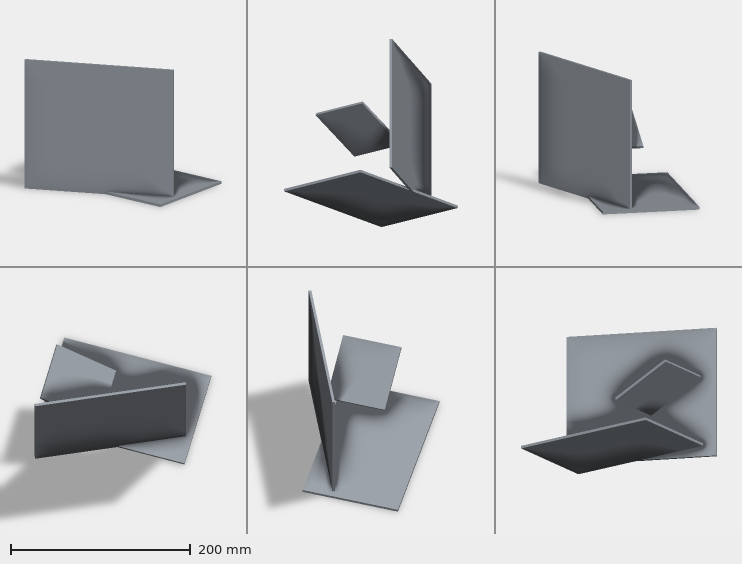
import cadquery as cq
import math

plate_thickness = 3.0

base_width = 170.0
base_depth = 110.0

upright_length = 170.0
upright_height = 150.0
upright_angle = 24.6
front_overhang = 38.51

tilted_length = 75.0
tilted_width = 67.25
tilted_angle = 25.0
tilted_center_x = -47.5
tilted_center_z = 66.5

turn = math.radians(upright_angle)
upright_half_span_y = (upright_length * math.sin(turn) + plate_thickness * math.cos(turn)) / 2
upright_center_y = upright_half_span_y - front_overhang


def make_upright():
    """Standing plate that crosses the base's front edge at an angle."""
    return (
        cq.Workplane("XY")
        .box(upright_length, plate_thickness, upright_height, centered=(True, True, False))
        .rotate((0, 0, 0), (0, 0, 1), upright_angle)
        .translate((0, upright_center_y, 0))
    )


def make_base(upright):
    """Flat plate with a through slot, open at the front, that receives the upright."""
    blank = cq.Workplane("XY").box(base_width, base_depth, plate_thickness, centered=(True, False, False))
    return blank.cut(upright).solids()


def make_tilted_plate():
    """Plate tilted about Y and held above the base, behind the upright."""
    return (
        cq.Workplane("XY")
        .box(tilted_length, tilted_width, plate_thickness, centered=(True, False, True))
        .rotate((0, 0, 0), (0, 1, 0), tilted_angle)
        .translate((tilted_center_x, 0, tilted_center_z))
    )


upright = make_upright()
base = make_base(upright)
tilted_plate = make_tilted_plate()

result = cq.Compound.makeCompound([base.val(), upright.val(), tilted_plate.val()])